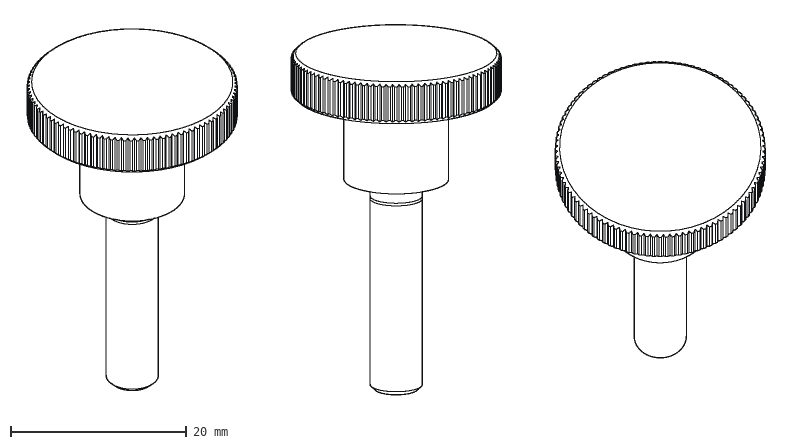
import math
import cadquery as cq

head_diameter = 24.0
head_height = 5.0
head_chamfer = 0.5

groove_count = 100
groove_depth = 0.24
groove_angle = 90.0

boss_diameter = 12.0
boss_height = 10.0

stud_diameter = 6.0
stud_length = 25.0
neck_length = 2.0
thread_depth = 0.5415
shank_top_taper_angle = 30.0
shank_top_taper_height = thread_depth * math.tan(math.radians(shank_top_taper_angle))
tip_chamfer = thread_depth

head_top = 0.0
head_bottom = head_top - head_height
boss_bottom = head_bottom - boss_height
neck_bottom = boss_bottom - neck_length
stud_bottom = boss_bottom - stud_length

head_radius = head_diameter / 2
boss_radius = boss_diameter / 2
stud_radius = stud_diameter / 2
root_radius = stud_radius - thread_depth


def make_turned_body():
    """Head, boss and stud as one revolved half profile."""
    profile = [
        (0, head_top),
        (head_radius - head_chamfer, head_top),
        (head_radius, head_top - head_chamfer),
        (head_radius, head_bottom + head_chamfer),
        (head_radius - head_chamfer, head_bottom),
        (boss_radius, head_bottom),
        (boss_radius, boss_bottom),
        (stud_radius, boss_bottom),
        (stud_radius, neck_bottom),
        (root_radius, neck_bottom),
        (stud_radius, neck_bottom - shank_top_taper_height),
        (stud_radius, stud_bottom + tip_chamfer),
        (stud_radius - tip_chamfer, stud_bottom),
        (0, stud_bottom),
    ]
    return cq.Workplane("XZ").polyline(profile).close().revolve(360, (0, 0), (0, 1))


def make_groove_cutters():
    """Triangular prisms, apex inward, one for each knurl groove."""
    apex_radius = head_radius - groove_depth
    mouth_radius = head_radius + groove_depth
    half_width = (mouth_radius - apex_radius) * math.tan(math.radians(groove_angle / 2))
    triangle = [
        (apex_radius, 0),
        (mouth_radius, -half_width),
        (mouth_radius, half_width),
    ]
    cutter = (
        cq.Workplane("XY")
        .workplane(offset=head_bottom)
        .polyline(triangle)
        .close()
        .extrude(head_height)
        .val()
    )
    pitch_angle = 360.0 / groove_count
    cutters = []
    for index in range(groove_count):
        cutters.append(cutter.rotate((0, 0, 0), (0, 0, 1), index * pitch_angle))
    return cutters


turned_body = make_turned_body().val()
knurled_body = turned_body.cut(*make_groove_cutters())
result = cq.Workplane("XY").newObject(knurled_body.Solids())